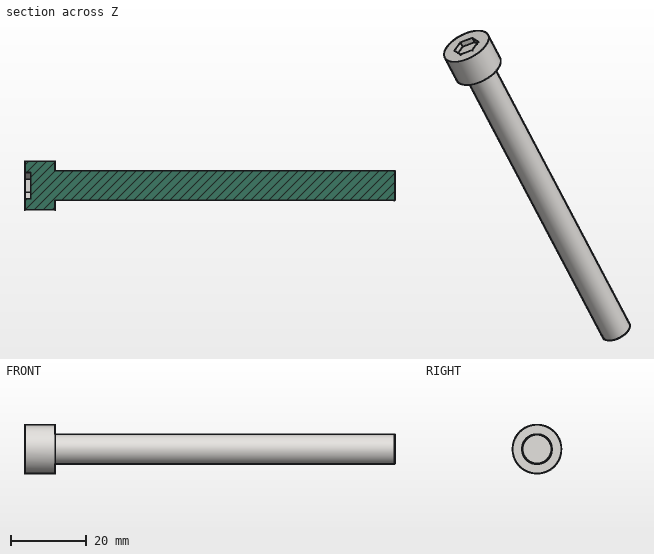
import cadquery as cq
import math

shank_diameter = 8.0
shank_length = 90.0
head_diameter = 13.0
head_height = shank_diameter
socket_across_flats = 6.0
socket_depth = 1.5
tip_chamfer = 0.2
underside_x = 0.0
head_face_x = underside_x - head_height


def make_head():
    """Plain cylindrical head, from its outer face to its underside."""
    return cq.Workplane("YZ", origin=(head_face_x, 0, 0)).circle(head_diameter / 2).extrude(head_height)


def make_shank():
    """Smooth shank with a small chamfer at the tip."""
    shank = cq.Workplane("YZ", origin=(underside_x, 0, 0)).circle(shank_diameter / 2).extrude(shank_length)
    return shank.faces(">X").chamfer(tip_chamfer)


def make_socket():
    """Hexagonal drive recess, with two corners on the Y axis."""
    across_corners = socket_across_flats / math.cos(math.pi / 6)
    return cq.Workplane("YZ", origin=(head_face_x, 0, 0)).polygon(6, across_corners).extrude(socket_depth)


result = make_head().union(make_shank()).cut(make_socket())